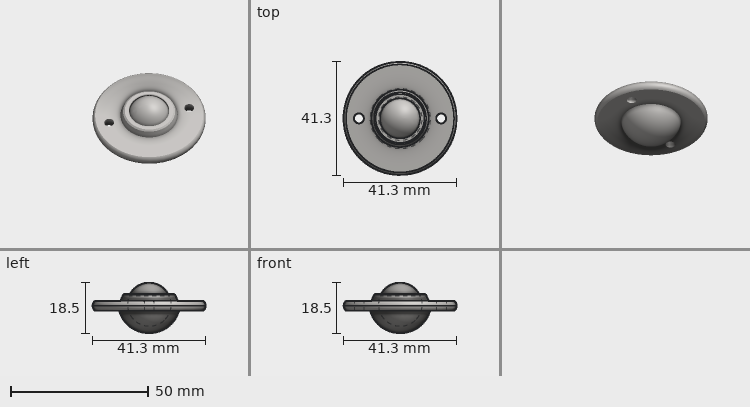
import cadquery as cq
import math


flange_radius = 20.65
flange_thickness = 3.65
flange_flat_radius = 19.7
screw_hole_radius = 1.78
screw_hole_offset = 15.0

collar_base_radius = 10.45
collar_edge_radius = 9.5
collar_edge_z = 4.0
collar_top_radius = 8.9
collar_top_z = 4.45
mouth_radius = 7.3

cup_radius = 11.45
cup_bottom_z = -10.05

ball_radius = 7.95
ball_top_z = 8.45

flange_top_z = flange_thickness / 2
flange_bottom_z = -flange_top_z
cup_center_z = cup_bottom_z + cup_radius
ball_center_z = ball_top_z - ball_radius

rim_bulge = flange_radius - flange_flat_radius
rim_arc_radius = (rim_bulge**2 + flange_top_z**2) / (2 * rim_bulge)
rim_arc_center_radius = flange_radius - rim_arc_radius


def rim_radius_at(z):
    """Outer radius of the bulging rim at height z."""
    return rim_arc_center_radius + math.sqrt(rim_arc_radius**2 - z**2)


def cup_point(angle):
    """(radius, z) on the cup, at an angle measured from its lowest point."""
    return (cup_radius * math.sin(angle), cup_center_z - cup_radius * math.cos(angle))


def turn(profile):
    """Revolve a closed (radius, z) profile a full turn about Z."""
    return profile.revolve(360, (0, 0, 0), (0, 1, 0))


def make_ball():
    return cq.Workplane("XY").sphere(ball_radius).translate((0, 0, ball_center_z))


def make_screw_holes():
    """Cutters for the two holes through the whole flange."""
    return (
        cq.Workplane("XY", origin=(0, 0, flange_bottom_z))
        .pushPoints([(-screw_hole_offset, 0), (screw_hole_offset, 0)])
        .circle(screw_hole_radius)
        .extrude(flange_thickness)
    )


def make_mouth():
    """Cutter for the round opening that the ball looks out of."""
    return (
        cq.Workplane("XY", origin=(0, 0, ball_center_z))
        .circle(mouth_radius)
        .extrude(collar_top_z - ball_center_z)
    )


def make_upper_housing():
    """Upper half of the flange with the collar around the ball."""
    rim_middle_z = flange_top_z / 2
    profile = (
        cq.Workplane("XZ")
        .lineTo(flange_radius, 0)
        .threePointArc((rim_radius_at(rim_middle_z), rim_middle_z), (flange_flat_radius, flange_top_z))
        .lineTo(collar_base_radius, flange_top_z)
        .lineTo(collar_edge_radius, collar_edge_z)
        .lineTo(collar_top_radius, collar_top_z)
        .lineTo(0, collar_top_z)
        .close()
    )
    return turn(profile).cut(make_ball()).cut(make_mouth()).cut(make_screw_holes())


def make_lower_housing():
    """Lower half of the flange with the spherical cup under the ball."""
    rim_middle_z = flange_bottom_z / 2
    cup_end_angle = math.acos((cup_center_z - flange_bottom_z) / cup_radius)
    profile = (
        cq.Workplane("XZ")
        .lineTo(flange_radius, 0)
        .threePointArc((rim_radius_at(rim_middle_z), rim_middle_z), (flange_flat_radius, flange_bottom_z))
        .lineTo(*cup_point(cup_end_angle))
        .threePointArc(cup_point(cup_end_angle / 2), (0, cup_bottom_z))
        .close()
    )
    return turn(profile).cut(make_ball()).cut(make_screw_holes())


upper_housing = make_upper_housing().solids()
lower_housing = make_lower_housing().solids()
ball = make_ball()

result = cq.Compound.makeCompound([upper_housing.val(), lower_housing.val(), ball.val()])